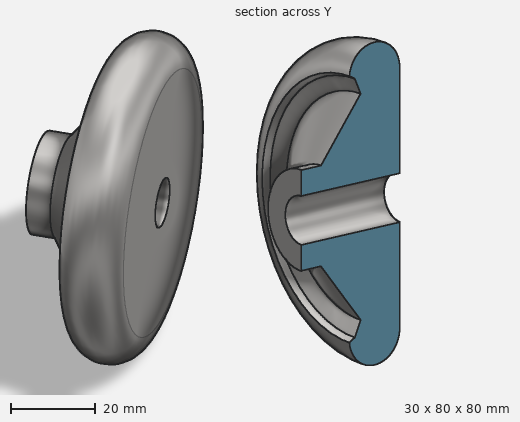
import cadquery as cq
import math

wheel_diameter = 79.95
wheel_width = 30.0
bore_diameter = 12
hub_diameter = 25.0
hub_length = 6.0
rim_width = 15.4

web_outer_radius = 28
trough_bottom_x = 18.0
lip_radius = 32.95
ledge_radius = 32
ledge_x = 16.2

wheel_radius = wheel_diameter / 2
rim_round = rim_width / 2
rim_center_x = wheel_width - rim_round
rim_center_radius = wheel_radius - rim_round
lip_x = rim_center_x - math.sqrt(rim_round**2 - (lip_radius - rim_center_radius) ** 2)

bore_radius = bore_diameter / 2
hub_radius = hub_diameter / 2
section = (
    cq.Workplane("XY")
    .moveTo(0, bore_radius)
    .lineTo(0, hub_radius)
    .lineTo(hub_length, hub_radius)
    .lineTo(trough_bottom_x, web_outer_radius)
    .lineTo(ledge_x, ledge_radius)
    .lineTo(lip_x, lip_radius)
    .threePointArc((rim_center_x, wheel_radius), (wheel_width, rim_center_radius))
    .lineTo(wheel_width, bore_radius)
    .close()
)

result = section.revolve(360, (0, 0, 0), (1, 0, 0))